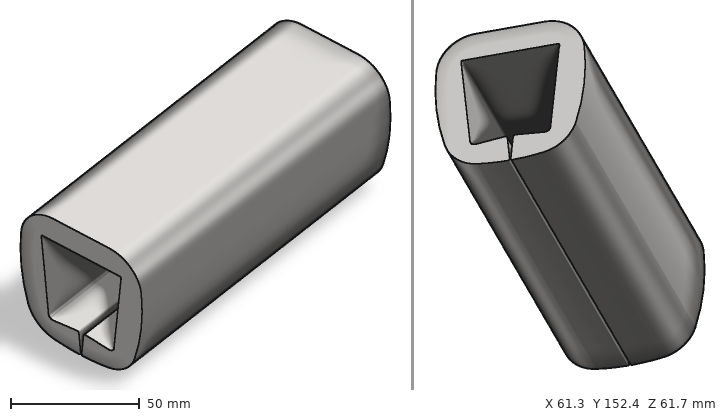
import cadquery as cq
import math

length = 152.4
width = 61.3
height = 61.7

top_flat_width = 28.0
crown_radius = 91.5
side_crown_depth = 23.2

wall_top = 11.5
cavity_top_width = 40.2
cavity_depth = 40.2
draft_angle = 5.5
slit_bottom_width = 0.3

cavity_top_radius = 0.8
cavity_floor_radius = 2.3
lip_radius = 0.9
slit_exit_radius = 0.8


def point_toward(start, target, distance):
    """Point at the given distance from start along the line to target."""
    span = math.dist(start, target)
    return tuple(s + (t - s) * distance / span for s, t in zip(start, target))


def mirrored(point):
    return (-point[0], point[1])


half_flat = top_flat_width / 2
side_center = (width / 2 - crown_radius, -side_crown_depth)
bottom_center = (0, crown_radius - height)

center_offset = half_flat - side_center[0]
corner_radius = (crown_radius**2 - center_offset**2 - side_crown_depth**2) / (
    2 * (crown_radius - side_crown_depth)
)
top_corner_center = (half_flat, -corner_radius)

center_distance = crown_radius - corner_radius
half_span = math.dist(side_center, bottom_center) / 2
reach = math.sqrt(center_distance**2 - half_span**2)
chord_x = (bottom_center[0] - side_center[0]) / (2 * half_span)
chord_z = (bottom_center[1] - side_center[1]) / (2 * half_span)
bottom_corner_center = (
    (side_center[0] + bottom_center[0]) / 2 + reach * chord_z,
    (side_center[1] + bottom_center[1]) / 2 - reach * chord_x,
)


def make_body():
    side_start = point_toward(side_center, top_corner_center, crown_radius)
    side_middle = (width / 2, -side_crown_depth)
    side_end = point_toward(side_center, bottom_corner_center, crown_radius)
    bottom_start = point_toward(bottom_center, bottom_corner_center, crown_radius)
    bottom_middle = (0, -height)

    def corner_middle(center, start, end):
        chord_middle = tuple((s + e) / 2 for s, e in zip(start, end))
        return point_toward(center, chord_middle, corner_radius)

    top_end = (half_flat, 0)
    top_middle = corner_middle(top_corner_center, top_end, side_start)
    low_middle = corner_middle(bottom_corner_center, side_end, bottom_start)
    return (
        cq.Workplane("XZ")
        .moveTo(*mirrored(top_end))
        .lineTo(*top_end)
        .threePointArc(top_middle, side_start)
        .threePointArc(side_middle, side_end)
        .threePointArc(low_middle, bottom_start)
        .threePointArc(bottom_middle, mirrored(bottom_start))
        .threePointArc(mirrored(low_middle), mirrored(side_end))
        .threePointArc(mirrored(side_middle), mirrored(side_start))
        .threePointArc(mirrored(top_middle), mirrored(top_end))
        .close()
        .extrude(length / 2, both=True)
    )


slope = math.tan(math.radians(draft_angle))
cavity_corner = (cavity_top_width / 2, -wall_top)
floor_corner = (cavity_corner[0] - cavity_depth * slope, -wall_top - cavity_depth)
slit_bottom = (slit_bottom_width / 2, -height)

lip_rise = (floor_corner[1] + (floor_corner[0] - slit_bottom[0]) * slope + height) / (1 + slope**2)
lip = (slit_bottom[0] + lip_rise * slope, lip_rise - height)

slit_exit = (slit_bottom[0], bottom_center[1] - math.sqrt(crown_radius**2 - slit_bottom[0]**2))


def cut_cavity(body):
    half = [cavity_corner, floor_corner, lip, slit_bottom]
    outline = half + [mirrored(point) for point in reversed(half)]
    cavity = cq.Workplane("XZ").polyline(outline).close().extrude(length / 2, both=True)
    return body.cut(cavity)


def round_edge_pair(body, point, radius):
    """Round the lengthwise edges through a section point and its mirror image."""
    for x, z in (point, mirrored(point)):
        edge = cq.selectors.NearestToPointSelector((x, 0, z))
        body = body.edges("|Y").edges(edge).fillet(radius)
    return body


result = cut_cavity(make_body())
for corner, radius in (
    (cavity_corner, cavity_top_radius),
    (floor_corner, cavity_floor_radius),
    (lip, lip_radius),
    (slit_exit, slit_exit_radius),
):
    result = round_edge_pair(result, corner, radius)